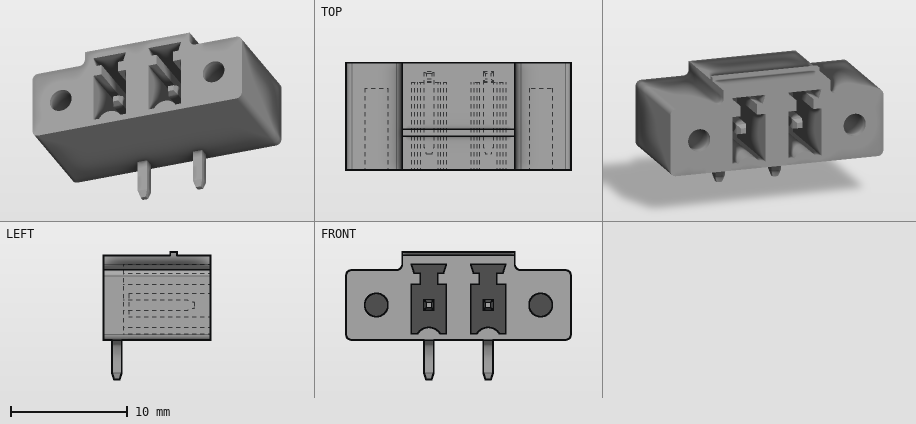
import cadquery as cq

housing_width = 19.28
housing_depth = 9.2
flange_height = 6.0
block_width = 9.66
block_height = 7.25
corner_radius = 0.5

overall_height = 10.95
rib_top = 7.55
rib_front = 2.87
rib_depth = 0.6

contact_pitch = 5.08
contact_count = 2
pin_size = 0.86
pin_tip_size = 0.48
pin_tip_length = 0.6
pin_axis_height = 3.0
tail_from_back = 1.16
tail_bottom = rib_top - overall_height
pin_front = 1.4

socket_depth = 7.5
socket_width = 3.0
socket_floor = 0.53
shoulder_height = 4.79
neck_width = 1.5
neck_top = 5.7
dovetail_base_width = 2.5
socket_top = 6.49
key_width = 1.96
key_height = 0.55

screw_to_contact = 4.5
screw_spacing = (contact_count - 1) * contact_pitch + 2 * screw_to_contact
screw_hole_diameter = 2.0
screw_hole_depth = 7.0

contact_positions = [(i - (contact_count - 1) / 2) * contact_pitch for i in range(contact_count)]
tail_y = housing_depth - tail_from_back


def front_plane(y):
    """XZ sketch plane at the given Y facing -Y; negative extrusions run toward +Y."""
    return cq.Workplane(cq.Plane(origin=(0, y, 0), xDir=(1, 0, 0), normal=(0, -1, 0)))


def make_housing():
    half_width = housing_width / 2
    half_block = block_width / 2
    profile = (
        front_plane(0)
        .moveTo(-half_width, 0)
        .lineTo(half_width, 0)
        .lineTo(half_width, flange_height)
        .lineTo(half_block, flange_height)
        .lineTo(half_block, block_height)
        .lineTo(-half_block, block_height)
        .lineTo(-half_block, flange_height)
        .lineTo(-half_width, flange_height)
        .close()
    )
    body = profile.extrude(-housing_depth)
    top_limit = (flange_height + block_height) / 2
    lower_region = cq.selectors.BoxSelector(
        (-housing_width, 0, -corner_radius), (housing_width, housing_depth, top_limit)
    )
    return body.edges("|Y").edges(lower_region).fillet(corner_radius)


def make_rib():
    return (
        cq.Workplane("XY", origin=(0, rib_front + rib_depth / 2, block_height))
        .rect(block_width, rib_depth)
        .extrude(rib_top - block_height)
    )


def make_socket(x):
    """Socket void: rectangle, neck and dovetail, with a rounded key rising from the floor."""
    half_socket = socket_width / 2
    half_neck = neck_width / 2
    half_dovetail = dovetail_base_width / 2
    half_key = key_width / 2
    return (
        front_plane(0)
        .moveTo(x - half_socket, socket_floor)
        .lineTo(x - half_key, socket_floor)
        .threePointArc((x, socket_floor + key_height), (x + half_key, socket_floor))
        .lineTo(x + half_socket, socket_floor)
        .lineTo(x + half_socket, shoulder_height)
        .lineTo(x + half_neck, shoulder_height)
        .lineTo(x + half_neck, neck_top)
        .lineTo(x + half_dovetail, neck_top)
        .lineTo(x + half_socket, socket_top)
        .lineTo(x - half_socket, socket_top)
        .lineTo(x - half_dovetail, neck_top)
        .lineTo(x - half_neck, neck_top)
        .lineTo(x - half_neck, shoulder_height)
        .lineTo(x - half_socket, shoulder_height)
        .close()
        .extrude(-socket_depth)
    )


def make_pin(start, direction, length):
    """Square pin running from start along direction, ending in a tapered tip."""
    plane = cq.Plane(origin=start, xDir=(1, 0, 0), normal=direction)
    shank_length = length - pin_tip_length
    shank = cq.Workplane(plane).rect(pin_size, pin_size).extrude(shank_length)
    tip = (
        cq.Workplane(plane)
        .workplane(offset=shank_length)
        .rect(pin_size, pin_size)
        .workplane(offset=pin_tip_length)
        .rect(pin_tip_size, pin_tip_size)
        .loft(ruled=True)
    )
    return shank.union(tip)


def make_contact(x):
    """Right-angle contact: a mating pin facing -Y and a solder tail facing -Z."""
    bend = (x, tail_y, pin_axis_height)
    mating_pin = make_pin(bend, (0, -1, 0), tail_y - pin_front)
    tail = make_pin(bend, (0, 0, -1), pin_axis_height - tail_bottom)
    return mating_pin.union(tail)


def make_screw_holes():
    return (
        front_plane(0)
        .pushPoints([(side * screw_spacing / 2, flange_height / 2) for side in (-1, 1)])
        .circle(screw_hole_diameter / 2)
        .extrude(-screw_hole_depth)
    )


connector = make_housing().union(make_rib()).cut(make_screw_holes())
for contact_x in contact_positions:
    connector = connector.cut(make_socket(contact_x)).union(make_contact(contact_x))

result = connector